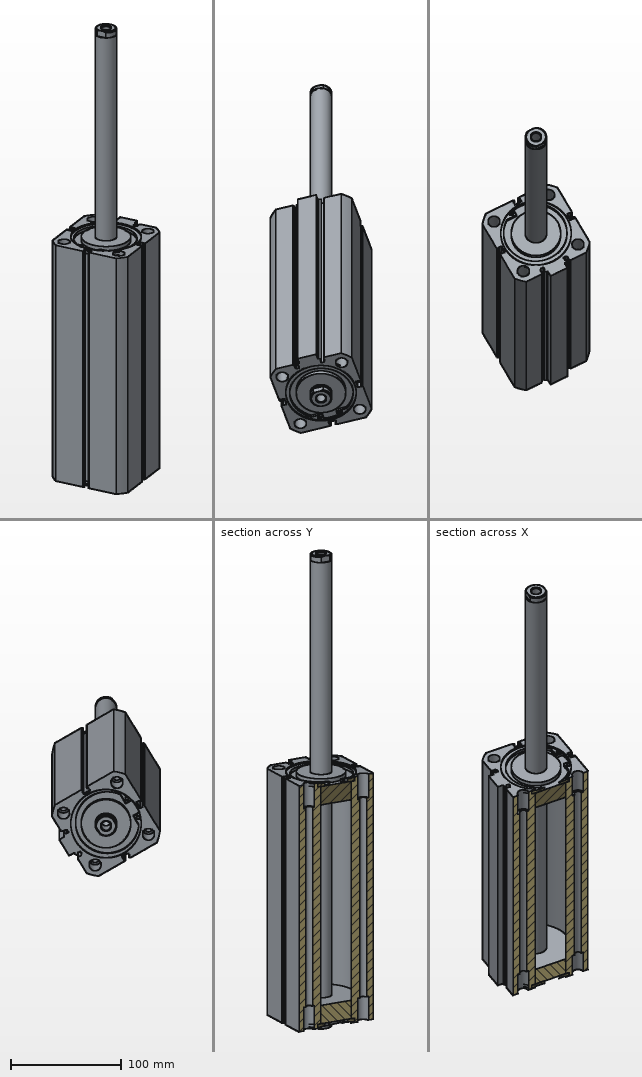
import cadquery as cq
import math


total_height = 451.0
barrel_base = 8.0
barrel_length = 235.0
barrel_top = barrel_base + barrel_length
barrel_middle = (barrel_base + barrel_top) / 2

barrel_width = 77.5
half_width = barrel_width / 2
corner_radius = 49.5
bore_radius = 32.0

bolt_spacing = 56.5
bolt_hole_diameter = 6.8
bolt_recess_diameter = 11.0
bolt_recess_depth = 22.5

slot_mouth_width = 4.0
slot_inner_width = 6.8
slot_bevel_depth = 0.5
slot_lip = 2.0
slot_floor_wall = 0.23

rail_top = 44.0
rail_width = 17.5
rail_flare_half_width = 11.7
rail_neck_half_width = 10.5
rail_groove_floor = 33.5
rail_neck_top = 36.0
rail_flare_low = 37.0
rail_flare_high = 38.0
rail_flare_top_half_width = 10.0
rail_groove_outer = 14.0
rail_groove_bevel = 1.15

groove_radius = 34.0
groove_inset = 1.5
ring_thickness = 2.5
ring_opening_radius = 29.0
ring_opening_offset = 1.5
ring_gap_half_width = 6.8
lug_outer_x = 19.0
lug_top_y = -25.0
lug_hole_spacing = 20.5
lug_hole_y = -28.0
lug_hole_diameter = 3.0

collar_length = 18.0
boss_radius = 22.5
boss_height = groove_inset + ring_thickness

rod_radius = 10.0
neck_diameter = 19.5
neck_radius = neck_diameter / 2
neck_length = 6.0
rod_chamfer = 1.0
flat_spacing = 17.0
thread_hole_radius = 4.3
thread_hole_chamfer = 0.68
thread_hole_depth = 18.0
drill_point_angle = 118.0


def at_lower_end(body):
    """Copy of a body from the upper barrel end, mirrored to the lower end."""
    return body.mirror("XY", (0, 0, barrel_middle))


def make_t_slot():
    """T-slot in the +X face, as long as the barrel."""
    half_mouth = slot_mouth_width / 2
    half_inner = slot_inner_width / 2
    floor_x = groove_radius + slot_floor_wall
    lip_inner_x = half_width - slot_lip
    lip_outer_x = half_width - slot_bevel_depth
    return (
        cq.Workplane("XY", origin=(0, 0, barrel_base))
        .moveTo(floor_x, -half_inner)
        .lineTo(lip_inner_x, -half_inner)
        .lineTo(lip_inner_x, -half_mouth)
        .lineTo(lip_outer_x, -half_mouth)
        .lineTo(half_width, -half_inner)
        .lineTo(half_width, half_inner)
        .lineTo(lip_outer_x, half_mouth)
        .lineTo(lip_inner_x, half_mouth)
        .lineTo(lip_inner_x, half_inner)
        .lineTo(floor_x, half_inner)
        .close()
        .extrude(barrel_length)
    )


def make_rail_groove():
    """Groove on the +X side of the rail; its inner wall is the flank of the rail."""
    floor_corner = rail_groove_outer - rail_groove_bevel
    return (
        cq.Workplane("XY", origin=(0, 0, barrel_base))
        .moveTo(rail_neck_half_width, rail_groove_floor)
        .lineTo(floor_corner, rail_groove_floor)
        .lineTo(rail_groove_outer, rail_groove_floor + rail_groove_bevel)
        .lineTo(rail_groove_outer, half_width - rail_groove_bevel)
        .lineTo(rail_groove_outer + rail_groove_bevel, half_width)
        .lineTo(rail_flare_top_half_width, half_width)
        .lineTo(rail_flare_half_width, rail_flare_high)
        .lineTo(rail_flare_half_width, rail_flare_low)
        .lineTo(rail_neck_half_width, rail_neck_top)
        .close()
        .extrude(barrel_length)
    )


def make_bolt_holes():
    """Four through holes with a wider recess at each end of the barrel."""
    base = cq.Workplane("XY", origin=(0, 0, barrel_base))
    holes = (
        base.rect(bolt_spacing, bolt_spacing, forConstruction=True)
        .vertices()
        .circle(bolt_hole_diameter / 2)
        .extrude(barrel_length)
    )
    for recess_base in (barrel_base, barrel_top - bolt_recess_depth):
        recesses = (
            cq.Workplane("XY", origin=(0, 0, recess_base))
            .rect(bolt_spacing, bolt_spacing, forConstruction=True)
            .vertices()
            .circle(bolt_recess_diameter / 2)
            .extrude(bolt_recess_depth)
        )
        holes = holes.union(recesses)
    return holes


def make_snap_groove():
    """Disc that fills the upper snap-ring groove and the bore beside it."""
    groove_base = barrel_top - groove_inset - ring_thickness
    return cq.Workplane("XY", origin=(0, 0, groove_base)).circle(groove_radius).extrude(ring_thickness)


def make_barrel():
    """Barrel with its rail, bore, snap-ring grooves, T-slots and mounting holes."""
    base = cq.Workplane("XY", origin=(0, 0, barrel_base))
    block = base.rect(barrel_width, barrel_width).extrude(barrel_length)
    barrel = block.intersect(base.circle(corner_radius).extrude(barrel_length))

    rail_height = rail_top - rail_groove_floor
    rail = (
        base.center(0, rail_groove_floor + rail_height / 2)
        .rect(rail_width, rail_height)
        .extrude(barrel_length)
    )
    barrel = barrel.union(rail)
    rail_groove = make_rail_groove()
    barrel = barrel.cut(rail_groove).cut(rail_groove.mirror("YZ"))

    barrel = barrel.cut(base.circle(bore_radius).extrude(barrel_length))
    snap_groove = make_snap_groove()
    barrel = barrel.cut(snap_groove).cut(at_lower_end(snap_groove))

    for angle in (0, 180, 270):
        barrel = barrel.cut(make_t_slot().rotate((0, 0, 0), (0, 0, 1), angle))
    return barrel.cut(make_bolt_holes())


def make_snap_ring():
    """Upper snap ring, with its gap and two drilled lugs on the -Y side."""
    disc = make_snap_groove()
    plane = cq.Workplane("XY", origin=(0, 0, barrel_top - groove_inset - ring_thickness))
    opening = plane.center(0, -ring_opening_offset).circle(ring_opening_radius).extrude(ring_thickness)
    lug_height = groove_radius + lug_top_y
    lugs = (
        plane.center(0, lug_top_y - lug_height / 2)
        .rect(2 * lug_outer_x, lug_height)
        .extrude(ring_thickness)
        .intersect(disc)
    )
    gap = (
        plane.center(0, lug_top_y - lug_height / 2)
        .rect(2 * ring_gap_half_width, lug_height)
        .extrude(ring_thickness)
    )
    lug_holes = (
        plane.pushPoints([(side * lug_hole_spacing / 2, lug_hole_y) for side in (-1, 1)])
        .circle(lug_hole_diameter / 2)
        .extrude(ring_thickness)
    )
    return disc.cut(opening).union(lugs).cut(gap).cut(lug_holes)


def make_collar():
    """Upper guide collar: it fills the bore below the snap ring, and its boss ends flush."""
    flange_top = barrel_top - boss_height
    return (
        cq.Workplane("XY", origin=(0, 0, flange_top - collar_length))
        .circle(bore_radius)
        .extrude(collar_length)
        .faces(">Z")
        .workplane()
        .circle(boss_radius)
        .extrude(boss_height)
        .faces(">Z")
        .workplane()
        .hole(2 * rod_radius)
    )


def make_rod():
    """Through rod with a chamfered threaded hole and two wrench flats on each end neck."""
    hole_mouth_radius = thread_hole_radius + thread_hole_chamfer
    drill_point_length = thread_hole_radius / math.tan(math.radians(drill_point_angle / 2))
    hole_tip = thread_hole_depth + drill_point_length
    rod = (
        cq.Workplane("YZ")
        .moveTo(0, hole_tip)
        .lineTo(-thread_hole_radius, thread_hole_depth)
        .lineTo(-thread_hole_radius, thread_hole_chamfer)
        .lineTo(-hole_mouth_radius, 0)
        .lineTo(rod_chamfer - neck_radius, 0)
        .lineTo(-neck_radius, rod_chamfer)
        .lineTo(-neck_radius, neck_length)
        .lineTo(-rod_radius, neck_length)
        .lineTo(-rod_radius, total_height - neck_length)
        .lineTo(-neck_radius, total_height - neck_length)
        .lineTo(-neck_radius, total_height - rod_chamfer)
        .lineTo(rod_chamfer - neck_radius, total_height)
        .lineTo(-hole_mouth_radius, total_height)
        .lineTo(-thread_hole_radius, total_height - thread_hole_chamfer)
        .lineTo(-thread_hole_radius, total_height - thread_hole_depth)
        .lineTo(0, total_height - hole_tip)
        .close()
        .revolve(360, (0, 0, 0), (0, 1, 0))
    )
    for flat_middle in (neck_length / 2, total_height - neck_length / 2):
        for side in (-1, 1):
            waste = cq.Workplane("XY").box(2 * rod_radius, rod_radius, neck_length)
            offset = side * (flat_spacing + rod_radius) / 2
            rod = rod.cut(waste.translate((0, offset, flat_middle)))
    return rod


barrel = make_barrel()
rod = make_rod()
upper_collar = make_collar()
collars = [upper_collar, at_lower_end(upper_collar)]
upper_ring = make_snap_ring()
snap_rings = [upper_ring, at_lower_end(upper_ring)]

result = cq.Compound.makeCompound(
    [body.val() for body in [barrel, rod, *collars, *snap_rings]]
)